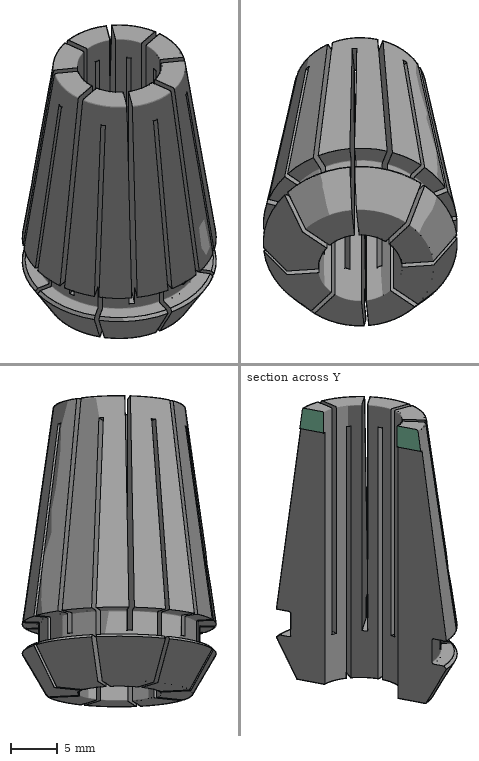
import cadquery as cq
import math

length = 31.5
outer_radius = 10.5
bore_radius = 9.0 / 2

taper_angle = 8.0
taper_base_z = 7.62

nose_angle = 30.0
nose_rim_z = 4.4
nose_rim_chamfer = 0.3

groove_radius = 8.73
groove_floor_z = nose_rim_z + nose_rim_chamfer
groove_fillet = 0.2

top_outer_fillet = 0.28
top_bore_fillet = 0.2
nose_end_fillet = 0.1

lower_slot_width = 0.5
upper_slot_width = 0.6
slots_per_end = 8
slot_reach = outer_radius + 0.63
lower_slot_top_z = 29.0
upper_slot_bottom_z = 5.42


def make_body():
    """Revolve the solid double-taper body and round its end and groove edges."""
    top_radius = outer_radius - (length - taper_base_z) * math.tan(math.radians(taper_angle))
    bottom_radius = outer_radius - nose_rim_z * math.tan(math.radians(nose_angle))
    outline = [
        (bore_radius, 0),
        (bottom_radius, 0),
        (outer_radius, nose_rim_z),
        (outer_radius - nose_rim_chamfer, groove_floor_z),
        (groove_radius, groove_floor_z),
        (groove_radius, taper_base_z),
        (outer_radius, taper_base_z),
        (top_radius, length),
        (bore_radius, length),
    ]
    body = cq.Workplane("XZ").polyline(outline).close().revolve(360, (0, 0), (0, 1))
    smallest_circle = cq.selectors.RadiusNthSelector(0)
    largest_circle = cq.selectors.RadiusNthSelector(-1)
    body = body.faces(">Z").edges(largest_circle).fillet(top_outer_fillet)
    body = body.faces(">Z").edges(smallest_circle).fillet(top_bore_fillet)
    body = body.faces("<Z").edges().fillet(nose_end_fillet)
    groove_corners = cq.selectors.BoxSelector(
        (-outer_radius, -outer_radius, groove_floor_z - groove_fillet),
        (outer_radius, outer_radius, taper_base_z + groove_fillet),
    )
    return body.edges(groove_corners).edges("%CIRCLE").edges(smallest_circle).fillet(groove_fillet)


def cut_slots(body, width, bottom_z, top_z, first_angle):
    """Cut a ring of radial slots from the bore to the outside between two heights."""
    slot = cq.Workplane("XY").workplane(offset=bottom_z)
    slot = slot.box(slot_reach, width, top_z - bottom_z, centered=(False, True, False))
    for index in range(slots_per_end):
        angle = first_angle + index * 360 / slots_per_end
        body = body.cut(slot.rotate((0, 0, 0), (0, 0, 1), angle))
    return body


result = make_body()
result = cut_slots(result, lower_slot_width, 0, lower_slot_top_z, 0)
result = cut_slots(result, upper_slot_width, upper_slot_bottom_z, length, 180 / slots_per_end)